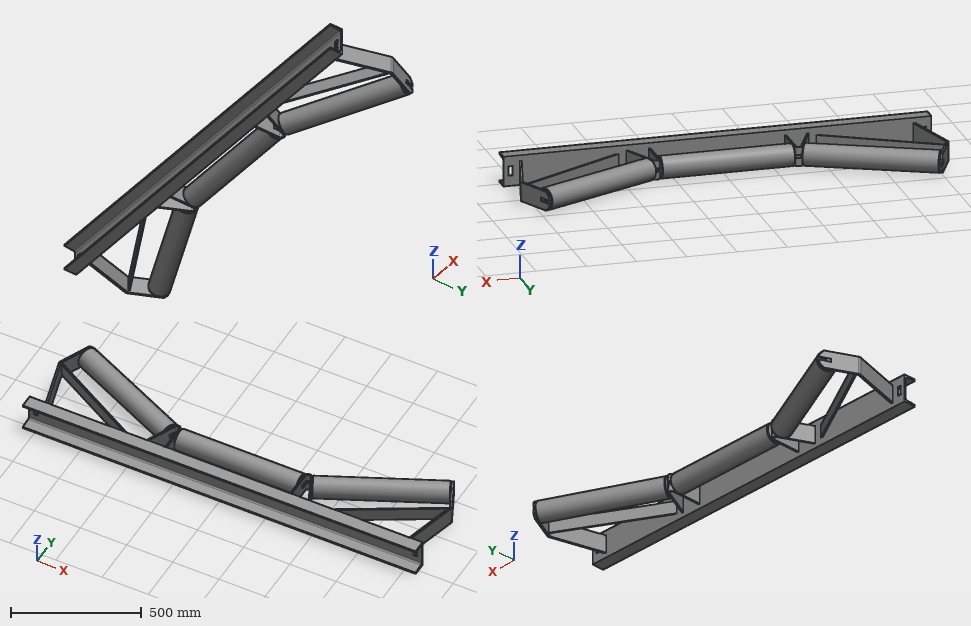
import cadquery as cq
import math

BEAM_LENGTH = 1701.0
BEAM_HEIGHT = 120.0
BEAM_DEPTH = 56.0
WEB_THICKNESS = 7.0
FLANGE_TIP_THICKNESS = 7.0
FLANGE_ROOT_THICKNESS = 11.0
FLANGE_ROOT_RADIUS = 7.0
MOUNT_SLOT_WIDTH = 17.0
MOUNT_SLOT_HEIGHT = 37.0
MOUNT_SLOT_INSET = 29.0

TILT = 25.0
ROLLER_DIAMETER = 88.0
ROLLER_LENGTH = 531.0
ROLLER_CHAMFER = 3.0
MIDDLE_ROLLER_Y = 172.0
SIDE_ROLLER_X = 548.0
SIDE_ROLLER_Y = 293.0

SHAFT_DIAMETER = 20.0
SHAFT_FLAT_WIDTH = 14.0
END_GAP = 2.0

STRIP_WIDTH = 77.0
INNER_THICKNESS = 7.0
INNER_BEND_RADIUS = 10.0
OUTER_THICKNESS = 9.0
OUTER_BEND_RADIUS = 9.0
OUTER_LEG_ANGLE = 15.0
TIP_ABOVE_AXIS = 37.0
TIP_CHAMFER = 17.0

STRUT_WIDTH = 55.0
STRUT_THICKNESS = 7.0
STRUT_TOP_RISE = 7.0
STRUT_FOOT_X = -400.0

TILT_RADIANS = math.radians(TILT)
LEG_RADIANS = math.radians(OUTER_LEG_ANGLE)
BRACKET_FACE = ROLLER_LENGTH / 2 + END_GAP
SHAFT_LENGTH = 2 * (BRACKET_FACE + INNER_THICKNESS)
OUTER_FACE = BRACKET_FACE + OUTER_THICKNESS


def strip(points, width):
    """Extrude an XY outline to the given width, centred on Z = 0."""
    return cq.Workplane("XY").polyline(points).close().extrude(width / 2, both=True)


def edge_near(x, y, z=0):
    return cq.selectors.NearestToPointSelector((x, y, z))


def round_bend(bracket, inner_corner, outer_corner, radius, thickness):
    """Round both sides of a strip's bend about one centre."""
    bracket = bracket.edges(edge_near(*inner_corner)).fillet(radius)
    return bracket.edges(edge_near(*outer_corner)).fillet(radius + thickness)


def tilted_point(along, above):
    """XY point given along and above the left side roller's axis."""
    return (
        -SIDE_ROLLER_X + along * math.cos(TILT_RADIANS) + above * math.sin(TILT_RADIANS),
        SIDE_ROLLER_Y - along * math.sin(TILT_RADIANS) + above * math.cos(TILT_RADIANS),
    )


def tilted_point_at_x(along, x):
    """Point with the given X on the line square to the left side roller's axis."""
    on_axis = tilted_point(along, 0)
    return tilted_point(along, (x - on_axis[0]) / math.sin(TILT_RADIANS))


def tilted_foot(along):
    """Point where the line square to the left side roller's axis meets the beam."""
    on_axis = tilted_point(along, 0)
    return tilted_point(along, (BEAM_DEPTH - on_axis[1]) / math.cos(TILT_RADIANS))


def to_side_roller(body):
    """Move a body from the origin to the left side roller's place."""
    return body.rotate((0, 0, 0), (0, 0, 1), -TILT).translate((-SIDE_ROLLER_X, SIDE_ROLLER_Y, 0))


def make_beam():
    half_height = BEAM_HEIGHT / 2
    web_front = BEAM_DEPTH - WEB_THICKNESS
    root_z = half_height - FLANGE_ROOT_THICKNESS
    tip_z = half_height - FLANGE_TIP_THICKNESS
    outline = [
        (0, half_height), (BEAM_DEPTH, half_height), (BEAM_DEPTH, -half_height), (0, -half_height),
        (0, -tip_z), (web_front, -root_z), (web_front, root_z), (0, tip_z),
    ]
    body = cq.Workplane("YZ").polyline(outline).close().extrude(BEAM_LENGTH / 2, both=True)
    for side in (-1, 1):
        body = body.edges(edge_near(0, web_front, side * root_z)).fillet(FLANGE_ROOT_RADIUS)

    slot_x = BEAM_LENGTH / 2 - MOUNT_SLOT_INSET
    web_middle = BEAM_DEPTH - WEB_THICKNESS / 2
    mount_slots = (
        cq.Workplane("XY")
        .pushPoints([(-slot_x, web_middle), (slot_x, web_middle)])
        .box(MOUNT_SLOT_WIDTH, WEB_THICKNESS, MOUNT_SLOT_HEIGHT)
    )
    return body.cut(mount_slots)


def centred_rod(diameter, length):
    """Round rod along X, centred on the origin."""
    return cq.Workplane("YZ", origin=(-length / 2, 0, 0)).circle(diameter / 2).extrude(length)


def make_roller():
    """Chamfered drum along X at the origin, with a flattened shaft end on each side."""
    drum = centred_rod(ROLLER_DIAMETER, ROLLER_LENGTH).faces("<X or >X").chamfer(ROLLER_CHAMFER)
    flats = cq.Workplane("XY").box(SHAFT_LENGTH, SHAFT_DIAMETER, SHAFT_FLAT_WIDTH)
    shaft = centred_rod(SHAFT_DIAMETER, SHAFT_LENGTH).intersect(flats)
    return drum.union(shaft)


def shaft_slot(start, depth):
    """Cutter for a shaft slot open upward, for a roller at the origin."""
    floor = -SHAFT_DIAMETER / 2
    slot = cq.Workplane("XY").box(
        depth, TIP_ABOVE_AXIS - floor, SHAFT_FLAT_WIDTH, centered=(False, False, True)
    )
    return slot.translate((start, floor, 0))


def make_inner_bracket():
    """Inverted V between the left side roller and the middle roller."""
    back = BRACKET_FACE + INNER_THICKNESS
    outer_apex = tilted_point_at_x(BRACKET_FACE, -BRACKET_FACE)
    inner_apex = tilted_point_at_x(back, -back)
    outline = [
        tilted_foot(BRACKET_FACE), outer_apex, (-BRACKET_FACE, BEAM_DEPTH),
        (-back, BEAM_DEPTH), inner_apex, tilted_foot(back),
    ]
    bracket = strip(outline, STRIP_WIDTH)
    bracket = round_bend(bracket, inner_apex, outer_apex, INNER_BEND_RADIUS, INNER_THICKNESS)

    slot_depth = INNER_BEND_RADIUS + INNER_THICKNESS
    tilted_slot = to_side_roller(shaft_slot(BRACKET_FACE, slot_depth))
    upright_slot = shaft_slot(-BRACKET_FACE - slot_depth, slot_depth)
    return bracket.cut(tilted_slot).cut(upright_slot.translate((0, MIDDLE_ROLLER_Y, 0)))


def outer_bend_corners():
    """Inner and outer sharp corners of the outer bracket's bend; the outer one is at the beam's end."""
    outer = tilted_point_at_x(-OUTER_FACE, -BEAM_LENGTH / 2)
    mitre_length = OUTER_THICKNESS / math.cos((TILT_RADIANS + LEG_RADIANS) / 2)
    mitre_angle = (LEG_RADIANS - TILT_RADIANS) / 2
    inner = (
        outer[0] + mitre_length * math.cos(mitre_angle),
        outer[1] + mitre_length * math.sin(mitre_angle),
    )
    return inner, outer


def lower_leg_foot(corner):
    """Point on the beam below a bend corner, at the lower leg's slope."""
    return (corner[0] + (corner[1] - BEAM_DEPTH) * math.tan(LEG_RADIANS), BEAM_DEPTH)


def make_outer_bracket():
    """Support for the left side roller's outer end."""
    inner_corner, outer_corner = outer_bend_corners()
    outline = [
        tilted_point(-OUTER_FACE, TIP_ABOVE_AXIS), outer_corner, lower_leg_foot(outer_corner),
        lower_leg_foot(inner_corner), inner_corner, tilted_point(-BRACKET_FACE, TIP_ABOVE_AXIS),
    ]
    bracket = strip(outline, STRIP_WIDTH)
    bracket = round_bend(bracket, inner_corner, outer_corner, OUTER_BEND_RADIUS, OUTER_THICKNESS)

    tip_middle = tilted_point(-(OUTER_FACE + BRACKET_FACE) / 2, TIP_ABOVE_AXIS)
    for side in (-1, 1):
        tip_edge = edge_near(*tip_middle, side * STRIP_WIDTH / 2)
        bracket = bracket.edges(tip_edge).chamfer(TIP_CHAMFER)
    return bracket.cut(to_side_roller(shaft_slot(-OUTER_FACE, OUTER_THICKNESS)))


def make_strut(support):
    """Diagonal flat bar, trimmed where it meets the outer bracket."""
    inner_corner, _ = outer_bend_corners()
    top_x = inner_corner[0]
    top_y = inner_corner[1] + STRUT_TOP_RISE
    slope = math.atan2(top_y - BEAM_DEPTH, STRUT_FOOT_X - top_x)
    half_end = STRUT_THICKNESS / 2 / math.cos(slope)
    half_foot = STRUT_THICKNESS / 2 / math.sin(slope)
    outline = [
        (top_x, top_y + half_end), (top_x, top_y - half_end),
        (STRUT_FOOT_X - half_foot, BEAM_DEPTH), (STRUT_FOOT_X + half_foot, BEAM_DEPTH),
    ]
    return strip(outline, STRUT_WIDTH).cut(support)


beam = make_beam()
middle_roller = make_roller().translate((0, MIDDLE_ROLLER_Y, 0))
bodies = [beam, middle_roller]

side_roller = to_side_roller(make_roller())
inner_bracket = make_inner_bracket()
outer_bracket = make_outer_bracket()
strut = make_strut(outer_bracket)
for left_body in (side_roller, inner_bracket, outer_bracket, strut):
    right_body = left_body.mirror("YZ")
    bodies += [left_body, right_body]

result = cq.Compound.makeCompound([body.val() for body in bodies])